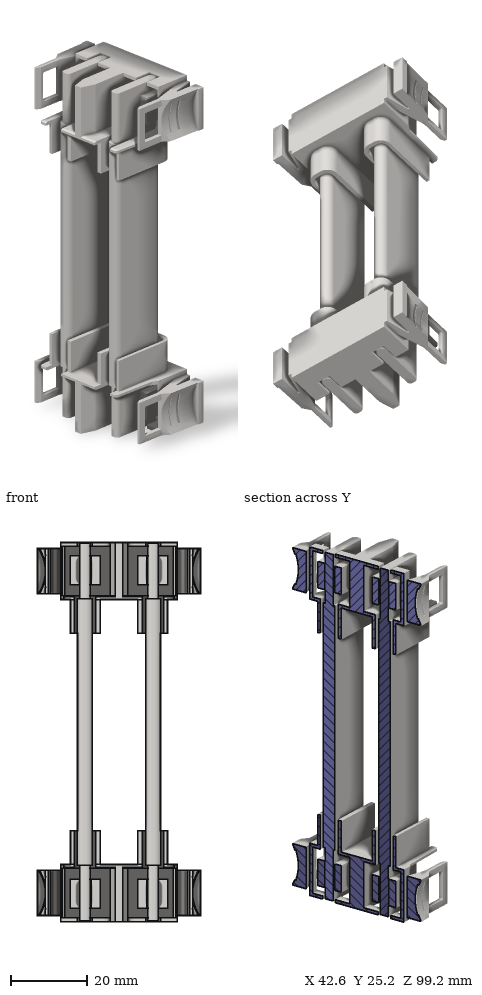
import cadquery as cq
import math

total_height = 99.25
top_z = total_height / 2
overshoot = 1.0

housing_height = 15.0
tray_width = 30.5
tray_depth = 10.6
plate_thickness = 1.0
back_thickness = 1.0
side_wall_at_mouth = 0.4
side_wall = 1.1
mouth_flare_depth = 1.1
base_z = top_z - housing_height
plate_top_z = base_z + plate_thickness
housing_depth = 25.2

tine_start = 12.3
tine_outer_start = 14.4
tine_outer_end = 14.0
tine_corner = 1.0
tine_bevel_run = 0.6
tine_bevel_drop = 0.3

rib_width = 4.7
rib_nose_width = 2.1
rib_taper_start = 20.9

bar_spacing = 17.9
bar_thickness = 4.0
bar_back = 5.3
bar_front = 21.6
bar_nose_flat = 0.7
tongue_inset = 0.6
tongue_tip_gap = 0.3
shoulder_depth = 0.2
tongue_play = 0.3

sleeve_inner_x = 4.9
sleeve_outer_x = 12.7
bore_width = 5.7
back_wall = 1.2
sleeve_back = 2.9
sleeve_front = 22.8
sleeve_length = 8.8
sleeve_corner = 3.1
pad_front = 12.3
pad_top_drop = 3.5
pad_height = 7.6
top_slot_width = 4.0
top_slot_back = 5.6

clip_height = 11.9
clip_drop = 1.6
clip_reach = 21.3
lip_depth = 1.9
grip_x = 21.0
grip_end = 11.3
leg_outer_x = 19.3
leg_inner_x = 18.0
leg_start = 13.7
leg_end = 21.8
leg_tip_width = 0.7
leg_tip_length = 1.2
slit_outer_x = 18.4
slit_inner_x = 17.9
slit_depth = 6.7
spring_root_x = 16.3
spring_root_depth = 4.5
window_height = 8.3
window_end = 19.85
window_corner = 0.5
scoop_back_half = 6.0
scoop_front_half = 6.5
scoop_depth = grip_x - leg_outer_x
groove_depth = 0.3
grooves = [(7.7, 0.9), (10.7, 0.5)]

tray_half = tray_width / 2
bar_x = bar_spacing / 2
clip_mid_z = top_z - clip_drop - clip_height / 2


def block(x0, x1, y0, y1, z0, z1):
    """Box between two opposite corners."""
    return cq.Workplane("XY").box(x1 - x0, y1 - y0, z1 - z0, centered=False).translate((x0, y0, z0))


def bar_section(inset, z0, z1):
    """Bar prism about X = 0: semicircular back, front edges rounded to a narrow flat."""
    half = bar_thickness / 2 - inset
    flat = bar_nose_flat / 2
    nose = half - flat
    diagonal = nose * math.sqrt(0.5)
    back = -bar_back - inset
    front = -bar_front + inset
    return (
        cq.Workplane("XY", origin=(0, 0, z0))
        .moveTo(-half, back - half)
        .threePointArc((0, back), (half, back - half))
        .lineTo(half, front + nose)
        .threePointArc((flat + diagonal, front + nose - diagonal), (flat, front))
        .lineTo(-flat, front)
        .threePointArc((-flat - diagonal, front + nose - diagonal), (-half, front + nose))
        .close()
        .extrude(z1 - z0)
    )


def bar():
    """Full section between the housings, with a thinner tongue reaching into each of them."""
    body_half = base_z + shoulder_depth
    tongue_half = top_z - tongue_tip_gap
    body = bar_section(0, -body_half, body_half)
    return body.union(bar_section(tongue_inset, -tongue_half, tongue_half))


def round_backed_block(x0, x1, back, front, corner, z0, z1):
    """Box with its two back corners rounded."""
    return block(x0, x1, -front, -back, z0, z1).edges("|Z and >Y").fillet(corner)


def base_plate():
    """Long inner plate, bevelled along the front; the bar openings later split it into tines."""
    outline = [
        (-tray_half, 0),
        (-tray_half, -tray_depth),
        (-tine_outer_start, -tine_start),
        (-tine_outer_end, -housing_depth),
        (tine_outer_end, -housing_depth),
        (tine_outer_start, -tine_start),
        (tray_half, -tray_depth),
        (tray_half, 0),
    ]
    plate = cq.Workplane("XY", origin=(0, 0, base_z)).polyline(outline).close().extrude(plate_thickness)
    plate = plate.edges("|Z and <Y").fillet(tine_corner)
    front = cq.selectors.BoxSelector(
        (-tray_half, -housing_depth - overshoot, plate_top_z - overshoot / 2),
        (tray_half, -tine_start, plate_top_z + overshoot / 2),
    )
    return plate.edges(front).chamfer(tine_bevel_drop, tine_bevel_run)


def tray():
    """Top plate, back wall and side walls whose inner faces flare at the mouth."""
    shell = block(-tray_half, tray_half, -tray_depth, 0, base_z, top_z)
    inner_half = tray_half - side_wall
    mouth_half = tray_half - side_wall_at_mouth
    flare_start = tray_depth - mouth_flare_depth
    cavity = (
        cq.Workplane("XY", origin=(0, 0, plate_top_z))
        .polyline([
            (-inner_half, -back_thickness),
            (-inner_half, -flare_start),
            (-mouth_half, -tray_depth),
            (mouth_half, -tray_depth),
            (inner_half, -flare_start),
            (inner_half, -back_thickness),
        ])
        .close()
        .extrude(housing_height - 2 * plate_thickness)
    )
    return shell.cut(cavity)


def rib():
    """Full-height rib between the bars, tapering to a flat nose."""
    half = rib_width / 2
    nose = rib_nose_width / 2
    return (
        cq.Workplane("XY", origin=(0, 0, base_z))
        .polyline([
            (-half, 0),
            (-half, -rib_taper_start),
            (-nose, -housing_depth),
            (nose, -housing_depth),
            (half, -rib_taper_start),
            (half, 0),
        ])
        .close()
        .extrude(housing_height)
    )


def sleeve_and_pad():
    """Solid sleeve outline and pad on the +X side, before the bar openings are cut."""
    sleeve = round_backed_block(
        sleeve_inner_x, sleeve_outer_x, sleeve_back, sleeve_front, sleeve_corner,
        base_z - sleeve_length, base_z,
    )
    pad_top = top_z - pad_top_drop
    pad = block(
        sleeve_inner_x, sleeve_outer_x, -pad_front, -back_thickness, pad_top - pad_height, pad_top
    )
    return sleeve.union(pad)


def bar_openings():
    """Sleeve bore and base plate slot, tongue pocket, and open top plate slot on the +X side."""
    bore = round_backed_block(
        bar_x - bore_width / 2, bar_x + bore_width / 2, sleeve_back + back_wall, housing_depth + overshoot,
        sleeve_corner - back_wall, base_z - sleeve_length, plate_top_z,
    )
    slot = block(
        bar_x - top_slot_width / 2, bar_x + top_slot_width / 2, -tray_depth - overshoot, -top_slot_back,
        top_z - plate_thickness, top_z,
    )
    pocket = bar_section(tongue_inset, base_z, top_z).translate((bar_x, 0, 0))
    return bore.union(slot).union(pocket).union(pocket.translate((-tongue_play, 0, 0)))


def clip():
    """Spring clip on the -X side: folded arm, hollowed thumb grip and windowed latch leg."""
    z0 = clip_mid_z - clip_height / 2
    arm = (
        cq.Workplane("XY", origin=(0, 0, z0))
        .polyline([
            (-tray_half, 0),
            (-spring_root_x, 0),
            (-slit_inner_x, -slit_depth),
            (-slit_outer_x, -slit_depth),
            (-slit_outer_x, 0),
            (-clip_reach, 0),
            (-clip_reach, -lip_depth),
            (-grip_x, -lip_depth),
            (-grip_x, -grip_end),
            (-leg_outer_x, -leg_start),
            (-leg_outer_x, -leg_end),
            (-leg_outer_x + leg_tip_width, -leg_end),
            (-leg_inner_x, -leg_end + leg_tip_length),
            (-leg_inner_x, -leg_start),
            (-tray_half, -spring_root_depth),
        ])
        .close()
        .extrude(clip_height)
    )
    return arm.cut(grip_hollow()).cut(latch_window())


def hollow_radius(y):
    """Radius of the thumb hollow at a distance y from the back; it grows evenly towards the leg."""
    share = (y - lip_depth) / (leg_start - lip_depth)
    half_chord = scoop_back_half + share * (scoop_front_half - scoop_back_half)
    return (half_chord ** 2 + scoop_depth ** 2) / (2 * scoop_depth)


def hollow_slice(y_back, y_front, extra_depth):
    """Round tapered tool along Y whose deepest line runs level with the latch leg."""
    deepest_x = -leg_outer_x + extra_depth
    back_radius = hollow_radius(y_back) + extra_depth
    front_radius = hollow_radius(y_front) + extra_depth
    back_plane = cq.Plane((deepest_x, -y_back, clip_mid_z), xDir=(-1, 0, 0), normal=(0, -1, 0))
    return (
        cq.Workplane(back_plane)
        .center(back_radius, 0)
        .circle(back_radius)
        .workplane(offset=y_front - y_back)
        .center(front_radius - back_radius, 0)
        .circle(front_radius)
        .loft(ruled=True)
    )


def grip_hollow():
    """Cutter for the thumb hollow and its two shallow finger grooves."""
    hollow = hollow_slice(lip_depth, leg_start, 0)
    for distance, width in grooves:
        groove = hollow_slice(distance - width / 2, distance + width / 2, groove_depth)
        length_limit = block(
            -clip_reach, -leg_inner_x, -leg_start, -lip_depth,
            clip_mid_z - window_height / 2, clip_mid_z + window_height / 2,
        )
        hollow = hollow.union(groove.intersect(length_limit))
    return hollow


def latch_window():
    """Cutter for the window through the latch leg, rounded at its front corners."""
    window = block(
        -clip_reach, -leg_inner_x + overshoot, -window_end, -leg_start,
        clip_mid_z - window_height / 2, clip_mid_z + window_height / 2,
    )
    return window.edges("|X and <Y").fillet(window_corner)


def upper_housing():
    """Housing at the +Z end; the one at the -Z end is its mirror image."""
    right_fitting = sleeve_and_pad()
    right_openings = bar_openings()
    left_clip = clip()
    body = tray().union(base_plate()).union(rib())
    body = body.union(right_fitting).union(right_fitting.mirror("YZ"))
    body = body.cut(right_openings).cut(right_openings.mirror("YZ"))
    return body.union(left_clip).union(left_clip.mirror("YZ"))


housing = upper_housing()
housings = [housing, housing.mirror("XY")]
bars = [bar().translate((x, 0, 0)) for x in (-bar_x, bar_x)]

result = cq.Compound.makeCompound([body.val() for body in housings + bars])